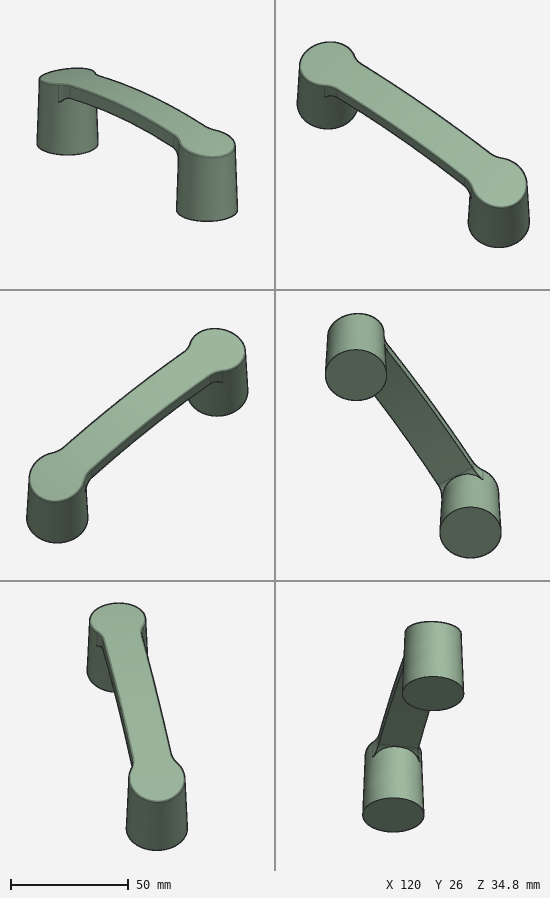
import cadquery as cq
import math

length = 120.0
height = 34.8
leg_radius = 13.02
bar_half_width = 9.5
neck_radius = 9.0
draft_angle = 2.0
crown_radius = 296.4
bar_thickness = 5.9
arch_blend_radius = 7.8
arch_blend_start = 34.4
arch_blend_turn = 45.0
edge_radius = 0.5

leg_x = length / 2 - leg_radius
crown_center_z = height - crown_radius
underside_radius = crown_radius - bar_thickness
neck_y = bar_half_width + neck_radius
neck_dx = math.sqrt((leg_radius + neck_radius) ** 2 - neck_y ** 2)
neck_x = leg_x - neck_dx
neck_share = leg_radius / (leg_radius + neck_radius)
leg_tangent_x = leg_x - neck_dx * neck_share
leg_tangent_y = neck_y * neck_share
neck_mid_angle = (math.atan2(-neck_y, neck_dx) - math.pi / 2) / 2
neck_mid_x = neck_x + neck_radius * math.cos(neck_mid_angle)
neck_mid_y = neck_y + neck_radius * math.sin(neck_mid_angle)


def drafted_body():
    """Dog-bone outline rising from the base with drafted walls."""
    return (
        cq.Workplane("XY")
        .moveTo(-neck_x, bar_half_width)
        .lineTo(neck_x, bar_half_width)
        .threePointArc((neck_mid_x, neck_mid_y), (leg_tangent_x, leg_tangent_y))
        .threePointArc((length / 2, 0), (leg_tangent_x, -leg_tangent_y))
        .threePointArc((neck_mid_x, -neck_mid_y), (neck_x, -bar_half_width))
        .lineTo(-neck_x, -bar_half_width)
        .threePointArc((-neck_mid_x, -neck_mid_y), (-leg_tangent_x, -leg_tangent_y))
        .threePointArc((-length / 2, 0), (-leg_tangent_x, leg_tangent_y))
        .threePointArc((-neck_mid_x, neck_mid_y), (-neck_x, bar_half_width))
        .close()
        .extrude(height, taper=draft_angle)
    )


def crown():
    """Block whose upper side is the crowned top."""
    crown_end_z = crown_center_z + math.sqrt(crown_radius**2 - length**2)
    return (
        cq.Workplane("XZ")
        .moveTo(-length, -height)
        .lineTo(-length, crown_end_z)
        .threePointArc((0, height), (length, crown_end_z))
        .lineTo(length, -height)
        .close()
        .extrude(length, both=True)
    )


def legs():
    """Two drafted round legs."""
    return (
        cq.Workplane("XY")
        .pushPoints([(-leg_x, 0), (leg_x, 0)])
        .circle(leg_radius)
        .extrude(height, taper=draft_angle)
    )


def space_under_arch():
    """Opening below the bar, bounded by the underside arc and its end blends."""
    start_angle = math.asin(arch_blend_start / underside_radius)
    center_reach = underside_radius - arch_blend_radius
    blend_x = center_reach * math.sin(start_angle)
    blend_z = crown_center_z + center_reach * math.cos(start_angle)

    def blend_point(fraction):
        angle = start_angle + fraction * math.radians(arch_blend_turn)
        x = blend_x + arch_blend_radius * math.sin(angle)
        z = blend_z + arch_blend_radius * math.cos(angle)
        return x, z

    start_x, start_z = blend_point(0)
    mid_x, mid_z = blend_point(0.5)
    end_x, end_z = blend_point(1)
    return (
        cq.Workplane("XZ")
        .moveTo(-length, 0)
        .lineTo(-length, end_z)
        .lineTo(-end_x, end_z)
        .threePointArc((-mid_x, mid_z), (-start_x, start_z))
        .threePointArc((0, height - bar_thickness), (start_x, start_z))
        .threePointArc((mid_x, mid_z), (end_x, end_z))
        .lineTo(length, end_z)
        .lineTo(length, 0)
        .close()
        .extrude(length, both=True)
    )


arched_body = drafted_body().cut(space_under_arch())
crowned_body = legs().union(arched_body).intersect(crown())
result = crowned_body.faces(">Z").edges().fillet(edge_radius)